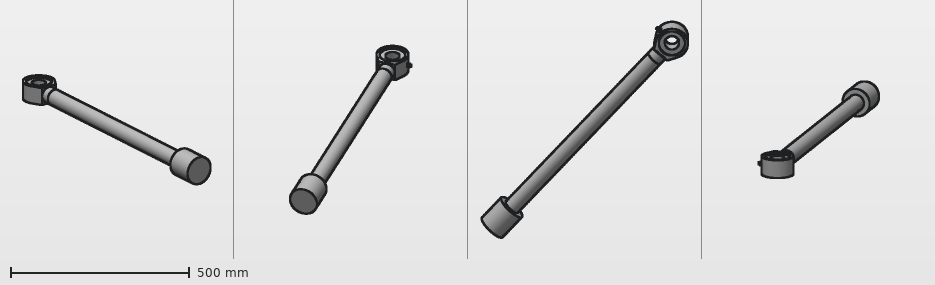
import cadquery as cq
import math

TOTAL_LENGTH = 803.0

EYE_RADIUS = 45.0
EYE_HEIGHT = 51.0
EYE_BACK_X = 92.0
BORE_DIAMETER = 40.0
RECESS_DIAMETER = 73.0
RECESS_DEPTH = 5.0
TAPER_ANGLE = 60.0
SHANK_END_X = 119.0

NIPPLE_REACH = 55.0
NIPPLE_BASE_DIAMETER = 11.0
NIPPLE_TIP_DIAMETER = 7.0
NIPPLE_TIP_LENGTH = 5.0

ROD_DIAMETER = 46.5
HEAD_DIAMETER = 80.0
HEAD_LENGTH = 82.0


def cylinder_along_x(diameter, start_x, end_x):
    return cq.Workplane("YZ", origin=(start_x, 0, 0)).circle(diameter / 2).extrude(end_x - start_x)


def cylinder_along_y(diameter, end_y):
    """Cylinder from the middle of the eye wall out to end_y."""
    start_y = (EYE_RADIUS + RECESS_DIAMETER / 2) / 2
    plane = cq.Plane(origin=(EYE_RADIUS, start_y, 0), xDir=(1, 0, 0), normal=(0, 1, 0))
    return cq.Workplane(plane).circle(diameter / 2).extrude(end_y - start_y)


def make_eye():
    """Round eye whose sides run tangentially to a flat back face."""
    angle = math.radians(TAPER_ANGLE)
    tangent_x = EYE_RADIUS * (1 + math.cos(angle))
    tangent_y = EYE_RADIUS * math.sin(angle)
    back_half_width = tangent_y - (EYE_BACK_X - tangent_x) / math.tan(angle)
    eye = (
        cq.Workplane("XY", origin=(0, 0, -EYE_HEIGHT / 2))
        .moveTo(EYE_BACK_X, back_half_width)
        .lineTo(tangent_x, tangent_y)
        .threePointArc((0, 0), (tangent_x, -tangent_y))
        .lineTo(EYE_BACK_X, -back_half_width)
        .close()
        .extrude(EYE_HEIGHT)
    )
    center = cq.Workplane("XY").center(EYE_RADIUS, 0)
    eye = eye.cut(center.circle(BORE_DIAMETER / 2).extrude(EYE_HEIGHT, both=True))
    recess_floor = EYE_HEIGHT / 2 - RECESS_DEPTH
    recess = center.workplane(offset=recess_floor).circle(RECESS_DIAMETER / 2).extrude(RECESS_DEPTH)
    return eye.cut(recess).cut(recess.mirror("XY"))


def make_nipple():
    base = cylinder_along_y(NIPPLE_BASE_DIAMETER, NIPPLE_REACH - NIPPLE_TIP_LENGTH)
    tip = cylinder_along_y(NIPPLE_TIP_DIAMETER, NIPPLE_REACH)
    return base.union(tip)


def make_rod_end():
    shank = cylinder_along_x(ROD_DIAMETER, EYE_BACK_X, SHANK_END_X)
    return make_eye().union(shank).union(make_nipple())


def make_rod():
    head_start_x = TOTAL_LENGTH - HEAD_LENGTH
    bar = cylinder_along_x(ROD_DIAMETER, SHANK_END_X, head_start_x)
    head = cylinder_along_x(HEAD_DIAMETER, head_start_x, TOTAL_LENGTH)
    return bar.union(head)


rod_end = make_rod_end()
rod = make_rod()
result = cq.Compound.makeCompound([rod_end.val(), rod.val()])